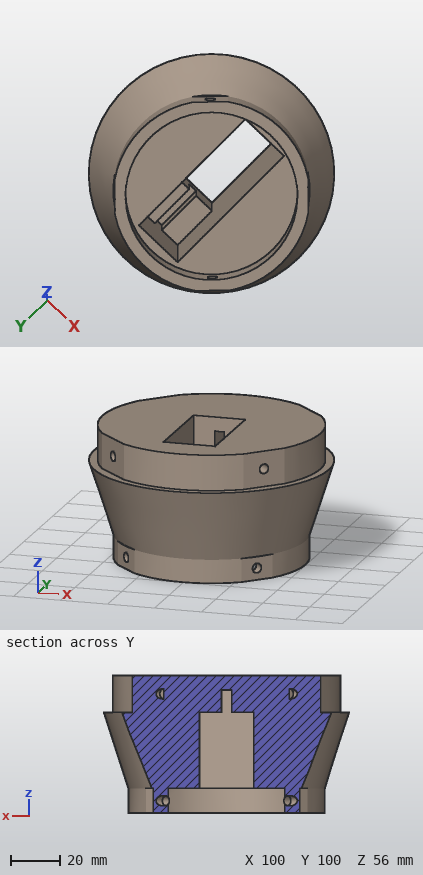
import cadquery as cq
import math

lower_height = 10.0
flare_height = 31.0
upper_height = 15.0
flare_top = lower_height + flare_height
total_height = flare_top + upper_height

lower_radius = 40.0
flare_radius = 50.0
upper_radius = 46.4
lower_flat_width = 14.3
upper_flat_width = 19.0

screw_diameter = 4.0
upper_screw_depth = 10.0
flat_angles = (45, 135, 225, 315)

recess_radius = 35.0
recess_height = lower_height

shaft_width = 22.0
mouth_back = 11.0
mouth_front = -31.0
chamber_back = -mouth_front

channel_width = 4.0
channel_top = total_height - 6.0


def flatted_collar(radius, flat_width, height, base):
    """Round collar with four flats facing the diagonals."""
    flat_distance = math.sqrt(radius**2 - (flat_width / 2) ** 2)
    disc = cq.Workplane("XY").circle(radius).extrude(height)
    flats = cq.Workplane("XY").rect(2 * flat_distance, 2 * flat_distance).extrude(height)
    flats = flats.rotate((0, 0, 0), (0, 0, 1), 45)
    return disc.intersect(flats).translate((0, 0, base))


def screw_holes(outer_radius, inner_radius, height):
    """Four radial cylinders between two radii at one height."""
    hole = (
        cq.Workplane("YZ", origin=(inner_radius, 0, height))
        .circle(screw_diameter / 2)
        .extrude(outer_radius - inner_radius)
    )
    holes = cq.Workplane("XY")
    for angle in flat_angles:
        holes = holes.add(hole.rotate((0, 0, 0), (0, 0, 1), angle))
    return holes.combine()


def centred_slot(width, front, back, bottom, top):
    """Box centred on X, spanning the given Y and Z ranges."""
    return (
        cq.Workplane("XY", origin=(0, (front + back) / 2, bottom))
        .rect(width, back - front)
        .extrude(top - bottom)
    )


flare = (
    cq.Workplane("XZ")
    .polyline([(0, lower_height), (lower_radius, lower_height), (flare_radius, flare_top), (0, flare_top)])
    .close()
    .revolve(360, (0, 0), (0, 1))
)
lower_collar = flatted_collar(lower_radius, lower_flat_width, lower_height, 0)
upper_collar = flatted_collar(upper_radius, upper_flat_width, upper_height, flare_top)
body = flare.union(lower_collar).union(upper_collar)

recess = cq.Workplane("XY").circle(recess_radius).extrude(recess_height)
mouth = centred_slot(shaft_width, mouth_front, mouth_back, flare_top, total_height)
chamber = centred_slot(shaft_width, mouth_front, chamber_back, 0, flare_top)
channel = centred_slot(channel_width, mouth_back, chamber_back, flare_top, channel_top)
body = body.cut(recess).cut(mouth).cut(chamber).cut(channel)

lower_screws = screw_holes(lower_radius, recess_radius - screw_diameter, lower_height / 2)
upper_screws = screw_holes(upper_radius, upper_radius - upper_screw_depth, flare_top + upper_height / 2)
result = body.cut(lower_screws).cut(upper_screws)